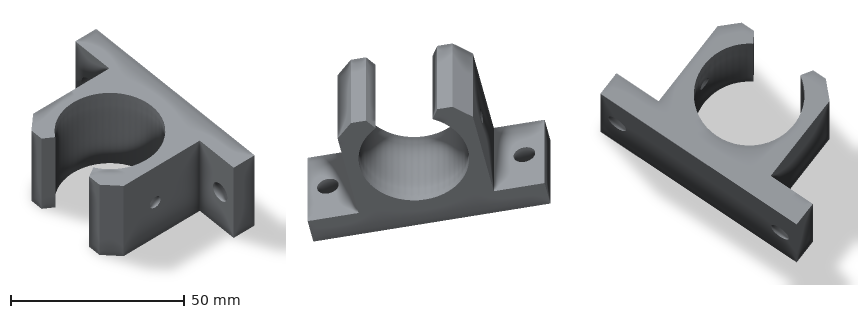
import cadquery as cq
import math

width = 70.0
depth = 42.0
height = 28.0

flange_thickness = 8.0
mount_hole_diameter = 6.4
mount_hole_spacing = 58.0

body_width = 40.0
body_chamfer = 5.0
bore_diameter = 32.0
bore_to_back = 25.0
mouth_half_angle = 31.7

side_hole_diameter = 4.1

back_y = depth / 2
front_y = -depth / 2
bore_y = back_y - bore_to_back


def flange():
    flange_y = back_y - flange_thickness / 2
    plate = cq.Workplane("XY").box(width, flange_thickness, height).translate((0, flange_y, 0))
    holes = (
        cq.Workplane("XZ", origin=(0, back_y, 0))
        .pushPoints([(-mount_hole_spacing / 2, 0), (mount_hole_spacing / 2, 0)])
        .circle(mount_hole_diameter / 2)
        .extrude(flange_thickness)
    )
    return plate.cut(holes)


def clip_body():
    block = cq.Workplane("XY").box(body_width, depth, height)
    return block.faces("<Y").edges("|Z").chamfer(body_chamfer)


def bore():
    return cq.Workplane("XY", origin=(0, bore_y, -height / 2)).circle(bore_diameter / 2).extrude(height)


def mouth():
    """Wedge opening from the bore axis out through the front face."""
    reach = bore_y - front_y
    half_width = reach * math.tan(math.radians(mouth_half_angle))
    return (
        cq.Workplane("XY", origin=(0, 0, -height / 2))
        .polyline([(0, bore_y), (-half_width, front_y), (half_width, front_y)])
        .close()
        .extrude(height)
    )


def side_hole():
    return cq.Workplane("YZ", origin=(0, bore_y, 0)).circle(side_hole_diameter / 2).extrude(body_width / 2)


result = flange().union(clip_body()).cut(bore()).cut(mouth()).cut(side_hole())